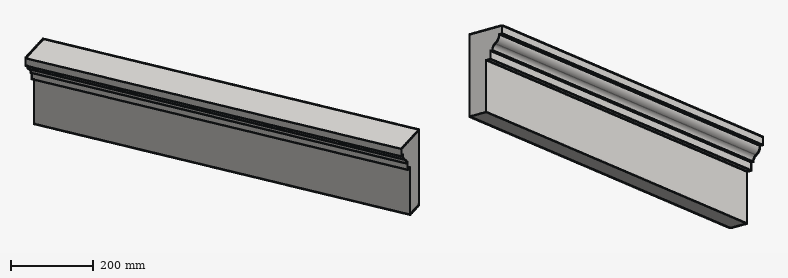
import cadquery as cq
import math

length = 1010.0
depth = 102.0
height = 213.0

lip_height = 21.0
lip_setback = 9.0
curve_height = 36.0
curve_depth = 21.0
convex_height = 21.0
band_height = 21.0
band_setback = 6.0
board_thickness = 53.0

back_y = depth / 2
lip_y = -depth / 2
curve_top_y = lip_y + lip_setback
curve_bottom_y = curve_top_y + curve_depth
band_y = curve_bottom_y + band_setback
board_y = back_y - board_thickness
top_z = height / 2
bottom_z = -height / 2
curve_top_z = top_z - lip_height
curve_bottom_z = curve_top_z - curve_height
band_bottom_z = curve_bottom_z - band_height

inflection_y = curve_top_y + curve_depth * convex_height / curve_height
inflection_z = curve_top_z - convex_height
sweep_angle = 2 * math.atan2(curve_depth, curve_height)
convex_radius = convex_height / math.sin(sweep_angle)
concave_radius = (curve_height - convex_height) / math.sin(sweep_angle)


def arc_midpoint(vertical_end_y, vertical_end_z, radius, direction):
    """Midpoint of an arc; direction is +1 inward and down, -1 outward and up."""
    half_angle = sweep_angle / 2
    y = vertical_end_y + direction * radius * (1 - math.cos(half_angle))
    z = vertical_end_z - direction * radius * math.sin(half_angle)
    return y, z


convex_midpoint = arc_midpoint(curve_top_y, curve_top_z, convex_radius, 1)
concave_midpoint = arc_midpoint(curve_bottom_y, curve_bottom_z, concave_radius, -1)

profile = (
    cq.Workplane("YZ", origin=(-length / 2, 0, 0))
    .moveTo(back_y, bottom_z)
    .lineTo(back_y, top_z)
    .lineTo(lip_y, top_z)
    .lineTo(lip_y, curve_top_z)
    .lineTo(curve_top_y, curve_top_z)
    .threePointArc(convex_midpoint, (inflection_y, inflection_z))
    .threePointArc(concave_midpoint, (curve_bottom_y, curve_bottom_z))
    .lineTo(band_y, curve_bottom_z)
    .lineTo(band_y, band_bottom_z)
    .lineTo(board_y, band_bottom_z)
    .lineTo(board_y, bottom_z)
    .close()
)

result = profile.extrude(length)